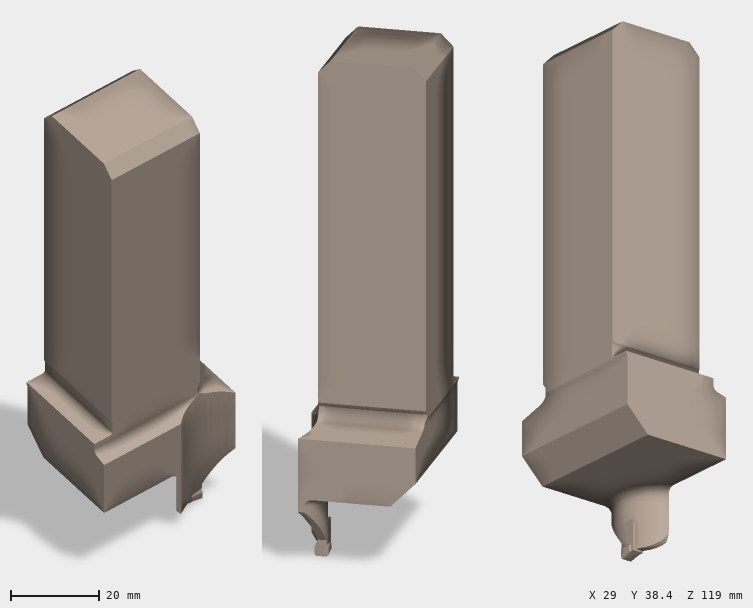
import cadquery as cq
import math

TOTAL_WIDTH = 29.0
TOTAL_DEPTH = 38.4
TOTAL_HEIGHT = 119.0

SHANK_WIDTH = 25.3
SHANK_DEPTH = 25.2
SHANK_FRONT = 5.0
SHANK_BACK = SHANK_FRONT + SHANK_DEPTH
TOP_CHAMFER = 3.0

HEAD_BOTTOM = 16.1
HEAD_LEFT = 0.4
HEAD_CHAMFER = 6.0
LEFT_STEP_TOP = 34.6
LEFT_STEP_HEIGHT = 1.1
FRONT_LEDGE_Z = 35.1
RIGHT_LEDGE_Z = 31.3
BACK_LEDGE_Z = 30.6
LEDGE_SLOPE = math.tan(math.radians(15))
RIGHT_NECK_FILLET = 1.5

FRONT_RELIEF_DEPTH = 0.2
FRONT_RELIEF_TOP = 39.0
FRONT_RELIEF_RUNOUT = 0.4
FRONT_NECK_FILLET = 0.6
BACK_RELIEF_DEPTH = 0.8
BACK_RELIEF_TOP = 36.8
BACK_RELIEF_RUNOUT = 1.1
BACK_NECK_FILLET = 3.2

BLADE_LEFT = 23.2
BLADE_THICKNESS = 2.1
OUTER_RADIUS = 11.1
OUTER_CENTRE_Y = 30.6
INNER_RADIUS = 12.5
INNER_CENTRE_Y = 30.8
INNER_CUT_TOP = 33.9
BLADE_REACH = TOTAL_WIDTH - BLADE_LEFT
BLADE_FRONT = OUTER_CENTRE_Y - math.sqrt(BLADE_REACH * (2 * OUTER_RADIUS - BLADE_REACH))
BLADE_BOTTOM = 1.4
BLADE_CORNER_RADIUS = 4.0
BLADE_ROOT_FILLET = 1.5
BLADE_TIP_Y = 30.8
BLADE_TIP_Z = 4.0
BLADE_SLANT_TOP = 13.0

INSERT_FRONT = 26.5
INSERT_BACK = 30.0
INSERT_TOP = 8.5
INSERT_TOP_RADIUS = 0.6
INSERT_HEEL_Z = 1.0
CUTTING_Y = 30.5
EDGE_LEFT = 22.8
EDGE_WIDTH = 3.2
EDGE_FRONT = 27.3
EDGE_TOP = 2.7
EDGE_CORNER_RADIUS = 0.6
EDGE_CHAMFER = 0.4


def prism_along_x(outline, x_start, x_end):
    """Extrude a closed YZ outline between two X positions."""
    return outline.extrude(x_end - x_start).translate((x_start, 0, 0))


def prism_along_y(outline, y_start, y_end):
    """Extrude a closed XZ outline between two Y positions."""
    return outline.extrude(y_start - y_end).translate((0, y_start, 0))


def fillet_edge_near(solid, point, radius):
    """Round the one edge whose middle is nearest to the point."""
    return solid.edges(cq.selectors.NearestToPointSelector(point)).fillet(radius)


def holder_width_prism():
    """Shank and head as their XZ outline, with the sloping ledge on the right."""
    neck_z = RIGHT_LEDGE_Z + (TOTAL_WIDTH - SHANK_WIDTH) * LEDGE_SLOPE
    outline = (
        cq.Workplane("XZ")
        .moveTo(TOTAL_WIDTH, HEAD_BOTTOM)
        .lineTo(HEAD_LEFT + HEAD_CHAMFER, HEAD_BOTTOM)
        .lineTo(HEAD_LEFT, HEAD_BOTTOM + HEAD_CHAMFER)
        .lineTo(HEAD_LEFT, LEFT_STEP_TOP - LEFT_STEP_HEIGHT)
        .tangentArcPoint((0, LEFT_STEP_TOP), relative=False)
        .lineTo(0, TOTAL_HEIGHT - TOP_CHAMFER)
        .lineTo(TOP_CHAMFER, TOTAL_HEIGHT)
        .lineTo(SHANK_WIDTH - TOP_CHAMFER, TOTAL_HEIGHT)
        .lineTo(SHANK_WIDTH, TOTAL_HEIGHT - TOP_CHAMFER)
        .lineTo(SHANK_WIDTH, neck_z)
        .lineTo(TOTAL_WIDTH, RIGHT_LEDGE_Z)
        .close()
    )
    prism = prism_along_y(outline, 0, TOTAL_DEPTH)
    return fillet_edge_near(prism, (SHANK_WIDTH, TOTAL_DEPTH / 2, neck_z), RIGHT_NECK_FILLET)


def holder_depth_prism():
    """Shank and head as their YZ outline, with the reliefs at the foot of the shank."""
    front_neck_y = SHANK_FRONT + FRONT_RELIEF_DEPTH
    back_neck_y = SHANK_BACK - BACK_RELIEF_DEPTH
    back_neck_z = BACK_LEDGE_Z + (TOTAL_DEPTH - back_neck_y) * LEDGE_SLOPE
    outline = cq.Workplane("YZ").polyline([
        (0, HEAD_BOTTOM),
        (TOTAL_DEPTH, HEAD_BOTTOM),
        (TOTAL_DEPTH, BACK_LEDGE_Z),
        (back_neck_y, back_neck_z),
        (back_neck_y, BACK_RELIEF_TOP - BACK_RELIEF_RUNOUT),
        (SHANK_BACK, BACK_RELIEF_TOP),
        (SHANK_BACK, TOTAL_HEIGHT),
        (SHANK_FRONT, TOTAL_HEIGHT),
        (SHANK_FRONT, FRONT_RELIEF_TOP),
        (front_neck_y, FRONT_RELIEF_TOP - FRONT_RELIEF_RUNOUT),
        (front_neck_y, FRONT_LEDGE_Z),
        (0, FRONT_LEDGE_Z),
    ]).close()
    prism = prism_along_x(outline, 0, TOTAL_WIDTH)
    middle_x = TOTAL_WIDTH / 2
    prism = fillet_edge_near(prism, (middle_x, back_neck_y, back_neck_z), BACK_NECK_FILLET)
    return fillet_edge_near(prism, (middle_x, front_neck_y, FRONT_LEDGE_Z), FRONT_NECK_FILLET)


def blade_side_prism():
    """The blade's YZ outline: slanted at the back, rounded at the front corner."""
    outline = cq.Workplane("YZ").polyline([
        (BLADE_FRONT, BLADE_BOTTOM),
        (INSERT_BACK, BLADE_BOTTOM),
        (INSERT_BACK, EDGE_TOP),
        (BLADE_TIP_Y, EDGE_TOP),
        (BLADE_TIP_Y, BLADE_TIP_Z),
        (TOTAL_DEPTH, BLADE_SLANT_TOP),
        (TOTAL_DEPTH, HEAD_BOTTOM),
        (BLADE_FRONT, HEAD_BOTTOM),
    ]).close()
    prism = prism_along_x(outline, 0, TOTAL_WIDTH)
    return fillet_edge_near(prism, (TOTAL_WIDTH / 2, BLADE_FRONT, BLADE_BOTTOM), BLADE_CORNER_RADIUS)


def upright_cylinder(left_x, centre_y, radius, z_start, z_end):
    """A vertical cylinder whose leftmost line is at left_x."""
    return (
        cq.Workplane("XY", origin=(left_x + radius, centre_y, z_start))
        .circle(radius)
        .extrude(z_end - z_start)
    )


def blade_root_flare():
    """Concave flare that joins the round outer face of the blade to the head."""
    flare_bottom = HEAD_BOTTOM - BLADE_ROOT_FILLET
    flare = (
        cq.Workplane("XZ")
        .moveTo(0, HEAD_BOTTOM)
        .lineTo(0, flare_bottom)
        .lineTo(OUTER_RADIUS, flare_bottom)
        .radiusArc((OUTER_RADIUS + BLADE_ROOT_FILLET, HEAD_BOTTOM), BLADE_ROOT_FILLET)
        .close()
    )
    flare = flare.revolve(360, (0, 0, 0), (0, 1, 0))
    return flare.translate((BLADE_LEFT + OUTER_RADIUS, OUTER_CENTRE_Y, 0))


def inner_blade_cut():
    """The round hollow that gives the blade and the head their concave right face."""
    return upright_cylinder(BLADE_LEFT + BLADE_THICKNESS, INNER_CENTRE_Y, INNER_RADIUS, 0, INNER_CUT_TOP)


def insert_bottom_at(y):
    """Height of the sloping underside, which rises from the cutting edge to the heel."""
    return INSERT_HEEL_Z * (CUTTING_Y - y) / (CUTTING_Y - INSERT_FRONT)


def insert_body():
    """The part of the insert that fills the slot through the blade."""
    outline = cq.Workplane("YZ").polyline([
        (INSERT_FRONT, insert_bottom_at(INSERT_FRONT)),
        (INSERT_BACK, insert_bottom_at(INSERT_BACK)),
        (INSERT_BACK, INSERT_TOP),
        (INSERT_FRONT, INSERT_TOP),
    ]).close()
    body = prism_along_x(outline, BLADE_LEFT, TOTAL_WIDTH)
    body = body.edges("|X and >Z").fillet(INSERT_TOP_RADIUS)
    return body.cut(inner_blade_cut())


def cutting_head():
    """The wider end of the insert, with its cutting edge at the lowest point."""
    outline = cq.Workplane("YZ").polyline([
        (EDGE_FRONT, insert_bottom_at(EDGE_FRONT)),
        (CUTTING_Y, 0),
        (CUTTING_Y, EDGE_TOP),
        (EDGE_FRONT, EDGE_TOP),
    ]).close()
    right_x = EDGE_LEFT + EDGE_WIDTH
    middle_x = EDGE_LEFT + EDGE_WIDTH / 2
    middle_y = (EDGE_FRONT + CUTTING_Y) / 2
    head = prism_along_x(outline, EDGE_LEFT, right_x)
    head = fillet_edge_near(head, (middle_x, EDGE_FRONT, EDGE_TOP), EDGE_CORNER_RADIUS)
    for side_x in (EDGE_LEFT, right_x):
        for edge_z in (insert_bottom_at(middle_y), EDGE_TOP):
            long_edge = cq.selectors.NearestToPointSelector((side_x, middle_y, edge_z))
            head = head.edges(long_edge).chamfer(EDGE_CHAMFER)
    return head


def make_holder():
    shank_and_head = holder_width_prism().intersect(holder_depth_prism())
    blade = upright_cylinder(BLADE_LEFT, OUTER_CENTRE_Y, OUTER_RADIUS, 0, HEAD_BOTTOM)
    blade = blade.intersect(blade_side_prism())
    envelope = cq.Workplane("XY").box(TOTAL_WIDTH, TOTAL_DEPTH, TOTAL_HEIGHT, centered=False)
    flare = blade_root_flare().intersect(envelope)
    holder = shank_and_head.union(blade).union(flare)
    return holder.cut(inner_blade_cut()).cut(insert_body())


def make_insert():
    return insert_body().union(cutting_head())


holder = make_holder()
insert = make_insert()
result = cq.Compound.makeCompound([holder.val(), insert.val()])